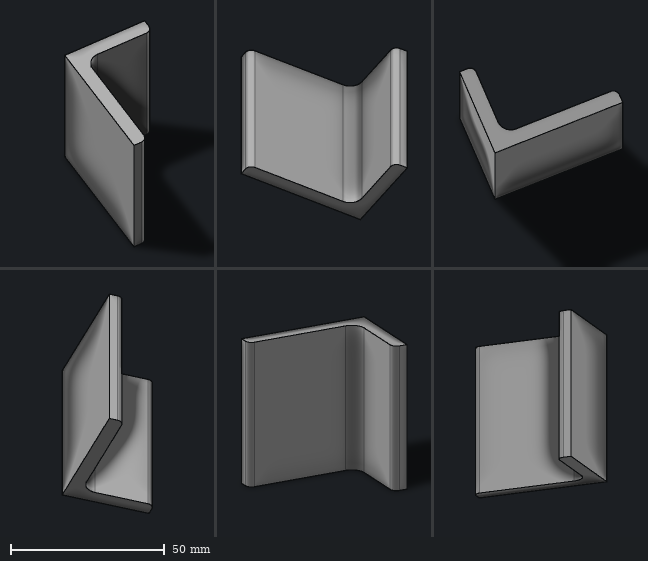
import cadquery as cq

long_leg = 45.0
short_leg = 30.0
length = 50.0
thickness = 5.0
root_radius = 4.5
toe_radius = 2.25

outline = [
    (0, 0),
    (long_leg, 0),
    (long_leg, thickness),
    (thickness, thickness),
    (thickness, short_leg),
    (0, short_leg),
]
angle = cq.Workplane("XY").polyline(outline).close().extrude(length)


def round_edge(body, x, y, radius):
    """Round the lengthwise edge that passes through (x, y)."""
    edge = cq.NearestToPointSelector((x, y, length / 2))
    return body.edges("|Z").edges(edge).fillet(radius)


angle = round_edge(angle, thickness, thickness, root_radius)
angle = round_edge(angle, long_leg, thickness, toe_radius)
angle = round_edge(angle, thickness, short_leg, toe_radius)

result = angle